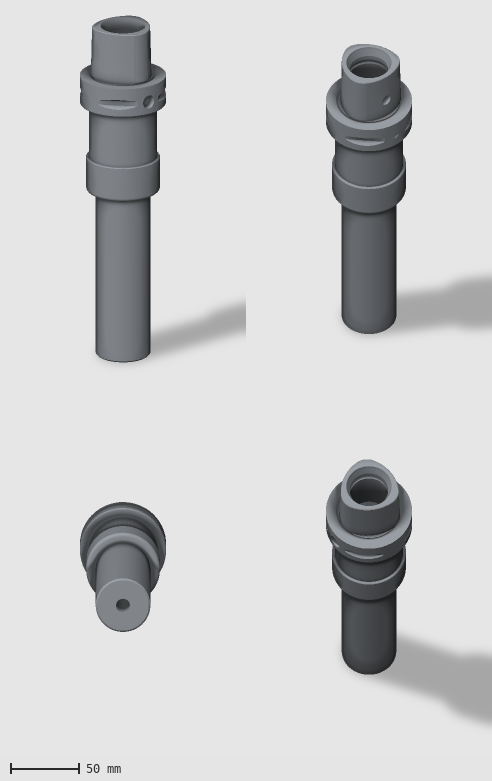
import cadquery as cq
import math


taper_length = 38.0
taper_width = 44.2
lobe_eccentricity = 1.45
lobe_count = 3
lobe_spacing = 360 / lobe_count
lobe_half_angle = lobe_spacing / 4
taper_foot_height = 2.0
taper_ratio = 1 / 20
tip_chamfer = 0.5

flange_diameter = 63.0
flange_bottom = -22.0
flange_chamfer = 0.8
neck_diameter = 50.0
neck_bottom = -63.2
neck_fillet = 1.6
collar_diameter = 54.0
collar_edge = 0.5
collar_bottom = -89.5
collar_round = 2.6
shank_diameter = 40.0
total_length = 255.0
shank_bottom = taper_length - total_length
shank_chamfer_width = 1.2
shank_chamfer_height = 1.2

foot_groove_outer = 48.38
foot_groove_inner = 45.4
foot_groove_depth = 1.0
foot_groove_top = 1.2

mouth_diameter = 33.0
mouth_end_diameter = 32.0
mouth_depth = 1.6
lip_diameter = 28.0
lip_depth = 6.5
clamping_groove_diameter = 32.0
clamping_groove_start = 10.0
clamping_groove_end = 14.0
deep_bore_depth = 50.0
counterbore_diameter = 17.84
counterbore_chamfer = 0.5
counterbore_depth = 55.0
pilot_diameter = 13.0
pilot_depth = 60.0
coolant_diameter = 10.1

slot_count = 4
first_slot_angle = 45.0
slot_z = -12.2
slot_chord = 29.2
slot_floor_width = 3.4
slot_side_angle = 30.0
chip_pocket_diameter = 10.1
chip_pocket_depth = 4.6
flange_mark_diameter = 4.0
flange_mark_depth = 0.3
taper_mark_diameter = 8.1
taper_mark_depth = 4.0
taper_mark_z = 15.2
mark_point_angle = 118.0
mark_overrun = 1.0


def polar(radius, angle):
    """Point at a radius and an angle in degrees."""
    return cq.Vector(radius * math.cos(math.radians(angle)), radius * math.sin(math.radians(angle)))


def polygon_outline(z, width):
    """Closed outline of the given width at height z, alternating three lobe arcs with three flatter arcs."""
    lobe_center = 2 * lobe_eccentricity / (2 - math.sqrt(3))
    radius_difference = math.sqrt(3) * lobe_center
    lobe_radius = (width - radius_difference) / 2
    flat_radius = (width + radius_difference) / 2

    start = polar(lobe_center, 0) + polar(lobe_radius, -lobe_half_angle)
    outline = cq.Workplane("XY", origin=(0, 0, z)).moveTo(start.x, start.y)
    for lobe_index in range(lobe_count):
        lobe_angle = lobe_index * lobe_spacing
        flat_angle = lobe_angle + lobe_spacing / 2
        center = polar(lobe_center, lobe_angle)
        lobe_middle = center + polar(lobe_radius, lobe_angle)
        lobe_end = center + polar(lobe_radius, lobe_angle + lobe_half_angle)
        opposite = polar(lobe_center, flat_angle + 180)
        flat_middle = opposite + polar(flat_radius, flat_angle)
        flat_end = opposite + polar(flat_radius, flat_angle + lobe_half_angle)
        outline = outline.threePointArc(lobe_middle.toTuple()[:2], lobe_end.toTuple()[:2])
        outline = outline.threePointArc(flat_middle.toTuple()[:2], flat_end.toTuple()[:2])
    return outline.close()


def polygon_taper():
    """Straight foot and tapered length of the polygon shank, chamfered at the tip."""
    tapered_height = taper_length - taper_foot_height
    tip_width = taper_width - tapered_height * taper_ratio
    foot = polygon_outline(0, taper_width).extrude(taper_foot_height)
    cone = cq.Solid.makeLoft(
        [
            polygon_outline(taper_foot_height, taper_width).val(),
            polygon_outline(taper_length, tip_width).val(),
        ],
        True,
    )
    return foot.union(cq.Workplane(cone).faces(">Z").chamfer(tip_chamfer))


def turned_body():
    """Flange, neck, collar and cylindrical shank as one revolved profile."""
    flange_r = flange_diameter / 2
    neck_r = neck_diameter / 2
    collar_r = collar_diameter / 2
    shank_r = shank_diameter / 2
    round_middle = collar_round * (1 - math.sqrt(0.5))
    fillet_middle = neck_fillet * (1 - math.sqrt(0.5))
    profile = (
        cq.Workplane("XZ")
        .lineTo(flange_r, 0)
        .lineTo(flange_r, flange_bottom + flange_chamfer)
        .lineTo(flange_r - flange_chamfer, flange_bottom)
        .lineTo(neck_r + neck_fillet, flange_bottom)
        .threePointArc(
            (neck_r + fillet_middle, flange_bottom - fillet_middle),
            (neck_r, flange_bottom - neck_fillet),
        )
        .lineTo(neck_r, neck_bottom)
        .lineTo(collar_r - collar_edge, neck_bottom)
        .lineTo(collar_r, neck_bottom - collar_edge)
        .lineTo(collar_r, collar_bottom + collar_round)
        .threePointArc(
            (collar_r - round_middle, collar_bottom + round_middle),
            (collar_r - collar_round, collar_bottom),
        )
        .lineTo(shank_r, collar_bottom)
        .lineTo(shank_r, shank_bottom + shank_chamfer_height)
        .lineTo(shank_r - shank_chamfer_width, shank_bottom)
        .lineTo(0, shank_bottom)
        .close()
    )
    return profile.revolve(360, (0, 0), (0, 1))


def foot_groove():
    """Ring cut around the foot of the taper, sinking into the flange face."""
    outer_r = foot_groove_outer / 2
    inner_r = foot_groove_inner / 2
    profile = (
        cq.Workplane("XZ")
        .moveTo(inner_r, foot_groove_top)
        .lineTo(inner_r, -foot_groove_depth)
        .lineTo(outer_r, 0)
        .lineTo(outer_r, foot_groove_top)
        .close()
    )
    return profile.revolve(360, (0, 0), (0, 1))


def bore():
    """Stepped bore from the taper tip, with a coolant hole through to the far end."""
    mouth_r = mouth_diameter / 2
    mouth_end_r = mouth_end_diameter / 2
    lip_r = lip_diameter / 2
    groove_r = clamping_groove_diameter / 2
    counterbore_r = counterbore_diameter / 2
    pilot_r = pilot_diameter / 2
    coolant_r = coolant_diameter / 2
    deep_floor = taper_length - deep_bore_depth
    profile = (
        cq.Workplane("XZ")
        .moveTo(0, taper_length)
        .lineTo(mouth_r, taper_length)
        .lineTo(mouth_end_r, taper_length - mouth_depth)
        .lineTo(lip_r, taper_length - lip_depth)
        .lineTo(lip_r, taper_length - clamping_groove_start)
        .lineTo(groove_r, taper_length - clamping_groove_start)
        .lineTo(groove_r, taper_length - clamping_groove_end)
        .lineTo(lip_r, taper_length - clamping_groove_end)
        .lineTo(lip_r, deep_floor)
        .lineTo(counterbore_r + counterbore_chamfer, deep_floor)
        .lineTo(counterbore_r, deep_floor - counterbore_chamfer)
        .lineTo(counterbore_r, taper_length - counterbore_depth)
        .lineTo(pilot_r, taper_length - counterbore_depth)
        .lineTo(pilot_r, taper_length - pilot_depth)
        .lineTo(coolant_r, taper_length - pilot_depth)
        .lineTo(coolant_r, shank_bottom)
        .lineTo(0, shank_bottom)
        .close()
    )
    return profile.revolve(360, (0, 0), (0, 1))


def gripper_slot(angle):
    """Straight trapezoidal slot across the flange rim, facing the given angle."""
    rim_r = flange_diameter / 2
    floor_r = math.sqrt(rim_r**2 - (slot_chord / 2) ** 2)
    floor_half = slot_floor_width / 2
    rim_half = floor_half + (rim_r - floor_r) * math.tan(math.radians(slot_side_angle))
    section = cq.Workplane("XZ").polyline([
        (floor_r, slot_z - floor_half),
        (rim_r, slot_z - rim_half),
        (rim_r, slot_z + rim_half),
        (floor_r, slot_z + floor_half),
    ])
    slot = section.close().extrude(slot_chord / 2, both=True)
    return slot.rotate((0, 0, 0), (0, 0, 1), angle)


def chip_pocket():
    """Round flat-bottomed pocket in the +X side of the flange rim."""
    floor_x = flange_diameter / 2 - chip_pocket_depth
    return (
        cq.Workplane("YZ", origin=(floor_x, 0, slot_z))
        .circle(chip_pocket_diameter / 2)
        .extrude(chip_pocket_depth)
    )


def drilled_mark(diameter, straight_depth, surface_x, z):
    """Shallow drilled hole with a conical point, entering the -X side at the given surface position."""
    radius = diameter / 2
    inward = cq.Vector(1, 0, 0)
    mouth = cq.Vector(surface_x - mark_overrun, 0, z)
    point_base = cq.Vector(surface_x + straight_depth, 0, z)
    point_length = radius / math.tan(math.radians(mark_point_angle / 2))
    barrel = cq.Solid.makeCylinder(radius, mark_overrun + straight_depth, mouth, inward)
    point = cq.Solid.makeCone(radius, 0, point_length, point_base, inward)
    return cq.Workplane(barrel.fuse(point))


mark_width = taper_width - (taper_mark_z - taper_foot_height) * taper_ratio
flat_distance = mark_width / 2 - lobe_eccentricity

result = turned_body().union(polygon_taper()).cut(foot_groove()).cut(bore())
for slot_index in range(slot_count):
    result = result.cut(gripper_slot(first_slot_angle + slot_index * 360 / slot_count))
result = result.cut(chip_pocket())
result = result.cut(drilled_mark(flange_mark_diameter, flange_mark_depth, -flange_diameter / 2, slot_z))
result = result.cut(drilled_mark(taper_mark_diameter, taper_mark_depth, -flat_distance, taper_mark_z))